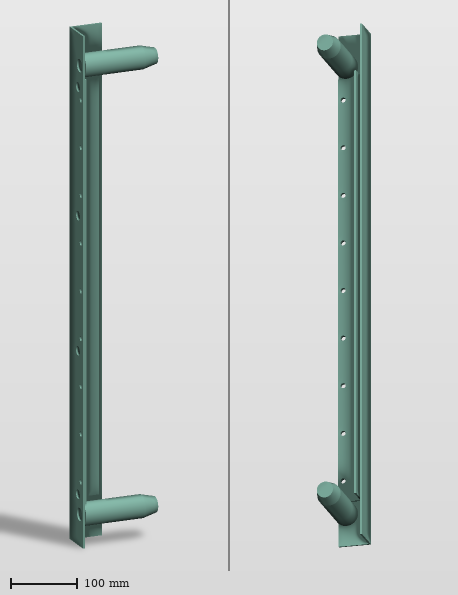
import cadquery as cq

length = 816.0
front_leg = 50.5
side_leg = 51.0
thickness = 3.1

inner_wall_x = 12.0
inner_leg_end_y = 42.0
inner_end_inset = 70.0

pin_diameter = 37.0
tip_diameter = 25.0
pin_hole_diameter = 20.0
outer_width = 56.0
pin_x = outer_width - pin_diameter / 2
pin_end_inset = 50.5
taper_start_y = 101.0
pin_end_y = 124.0
pin_heights = [pin_end_inset, length - pin_end_inset]

small_hole_diameter = 7.9
small_hole_x = 42.5
small_hole_count = 9
small_hole_span = 609.0
small_hole_pitch = small_hole_span / (small_hole_count - 1)

large_hole_diameter = 15.0
large_hole_x = 32.0
large_hole_heights = [81.0, 309.0, 525.0, 729.5]


def angle_bar(corner_x, corner_y, end_x, end_y, bottom, top):
    """L-shaped bar running along Z, with its outer corner at (corner_x, corner_y)."""
    wall_x = corner_x + thickness
    wall_y = corner_y + thickness
    return (
        cq.Workplane("XY", origin=(0, 0, bottom))
        .moveTo(corner_x, corner_y)
        .lineTo(end_x, corner_y)
        .lineTo(end_x, wall_y)
        .lineTo(wall_x, wall_y)
        .lineTo(wall_x, end_y)
        .lineTo(corner_x, end_y)
        .close()
        .extrude(top - bottom)
    )


def hole_cutters(diameter, x, heights, depth):
    """Cylinders along +Y from the front face, one at each height."""
    return (
        cq.Workplane("XZ")
        .pushPoints([(x, z) for z in heights])
        .circle(diameter / 2)
        .extrude(-depth)
    )


def small_hole_cutters():
    first = (length - small_hole_span) / 2
    heights = [first + i * small_hole_pitch for i in range(small_hole_count)]
    return hole_cutters(small_hole_diameter, small_hole_x, heights, 2 * thickness)


def make_outer_angle():
    bar = angle_bar(0, 0, front_leg, side_leg, 0, length)
    bar = bar.cut(hole_cutters(pin_hole_diameter, pin_x, pin_heights, thickness))
    bar = bar.cut(hole_cutters(large_hole_diameter, large_hole_x, large_hole_heights, thickness))
    return bar.cut(small_hole_cutters())


def make_inner_angle():
    bar = angle_bar(
        inner_wall_x, thickness, front_leg, inner_leg_end_y, inner_end_inset, length - inner_end_inset
    )
    return bar.cut(small_hole_cutters())


def make_pin(height):
    """Turned pin along +Y; its profile is revolved about the pin axis."""
    return (
        cq.Workplane("XY", origin=(pin_x, thickness, height))
        .lineTo(pin_diameter / 2, 0)
        .lineTo(pin_diameter / 2, taper_start_y - thickness)
        .lineTo(tip_diameter / 2, pin_end_y - thickness)
        .lineTo(0, pin_end_y - thickness)
        .close()
        .revolve(360, (0, 0, 0), (0, 1, 0))
    )


outer_angle = make_outer_angle()
inner_angle = make_inner_angle()
pins = [make_pin(height) for height in pin_heights]

result = cq.Compound.makeCompound(
    [outer_angle.val(), inner_angle.val(), *[pin.val() for pin in pins]]
)